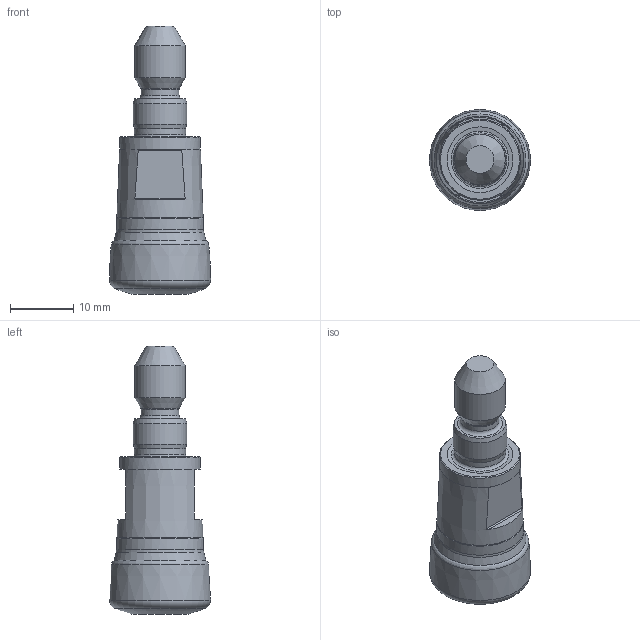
import cadquery as cq
import math

total_height = 42.41
foot_height = 8.5
collar_bottom = 10.0
collar_top = 12.0
rim_bottom = 22.94
rim_top = 24.92
neck_top = 26.14
pilot_top = 30.87
nose_bottom = 34.2
nose_cone_height = 3.1

nose_diameter = 8.0
groove_diameter = 6.0
pilot_diameter = 8.5
neck_diameter = 8.1
recess_diameter = 10.4
rim_diameter = 12.8
body_base_diameter = 13.65
collar_diameter = 13.75

nose_angle = math.radians(30)
lead_angle = math.radians(15)
recess_angle = math.radians(10)
pilot_lead = 0.2
rim_chamfer = 0.15
collar_step_height = 0.12
groove_upper_fillet = 0.5
groove_lower_fillet = 0.6
neck_fillet = 0.42
skirt_fillet = 1.5

across_flats = 10.8
flat_bottom = 14.95
flat_fillet = 0.2

foot_diameter = 16.0
foot_base_radius = 4.5
foot_belly_height = 2.2
foot_side_mid = (7.93, 5.0)
foot_shoulder = (7.72, 7.8)
foot_dome_mid = (5.88, 0.38)
foot_dome_edge = (7.2, 0.93)

nose_radius = nose_diameter / 2
groove_radius = groove_diameter / 2
pilot_radius = pilot_diameter / 2
neck_radius = neck_diameter / 2
recess_radius = recess_diameter / 2
rim_radius = rim_diameter / 2
collar_radius = collar_diameter / 2
tip_radius = nose_radius - nose_cone_height * math.tan(nose_angle)
groove_top = nose_bottom - (nose_radius - groove_radius) / math.tan(nose_angle)
lead_height = pilot_lead / math.tan(lead_angle)
recess_floor = rim_top - (recess_radius - neck_radius) * math.tan(recess_angle)
skirt_radius = collar_radius + (collar_bottom - foot_height) * math.tan(lead_angle)


def fillet_ring(solid, radius, ring_radius, level):
    """Round the circular edge of the given radius and height on the Z axis."""
    tolerance = 1e-4
    rings = solid.edges("%CIRCLE").filter(
        lambda edge: abs(edge.radius() - ring_radius) < tolerance
        and abs(edge.Center().z - level) < tolerance
    )
    return rings.fillet(radius)


def make_turned_stud():
    """Stud turned about Z, from the skirt up to the nose."""
    profile = [
        (0, foot_height),
        (skirt_radius, foot_height),
        (collar_radius, collar_bottom),
        (collar_radius, collar_top - collar_step_height / 2),
        (body_base_diameter / 2, collar_top + collar_step_height / 2),
        (rim_radius, rim_bottom),
        (rim_radius, rim_top - rim_chamfer),
        (rim_radius - rim_chamfer, rim_top),
        (recess_radius, rim_top),
        (neck_radius, recess_floor),
        (neck_radius, neck_top),
        (pilot_radius, neck_top + lead_height),
        (pilot_radius, pilot_top - lead_height),
        (pilot_radius - pilot_lead, pilot_top),
        (groove_radius, pilot_top),
        (groove_radius, groove_top),
        (nose_radius, nose_bottom),
        (nose_radius, total_height - nose_cone_height),
        (tip_radius, total_height),
        (0, total_height),
    ]
    turned = cq.Workplane("XZ").polyline(profile).close().revolve(360, (0, 0), (0, 1))
    turned = fillet_ring(turned, groove_upper_fillet, groove_radius, groove_top)
    turned = fillet_ring(turned, groove_lower_fillet, groove_radius, pilot_top)
    turned = fillet_ring(turned, neck_fillet, neck_radius, recess_floor)
    return fillet_ring(turned, skirt_fillet, collar_radius, collar_bottom)


def make_flat_cutter(side):
    """Block that mills one wrench flat; side is +1 for +Y and -1 for -Y."""
    depth = collar_radius
    flat_height = rim_bottom - flat_bottom
    inner_face = "<Y" if side > 0 else ">Y"
    return (
        cq.Workplane("XY")
        .box(2 * collar_diameter, depth, flat_height)
        .faces(inner_face)
        .edges("|X")
        .fillet(flat_fillet)
        .translate((0, side * (across_flats + depth) / 2, flat_bottom + flat_height / 2))
    )


def make_stud():
    stud = make_turned_stud()
    for side in (-1, 1):
        stud = stud.cut(make_flat_cutter(side))
    return stud.solids()


def make_foot():
    """Bulbous foot turned about Z, with a domed underside."""
    return (
        cq.Workplane("XZ")
        .moveTo(0, 0)
        .lineTo(foot_base_radius, 0)
        .threePointArc(foot_dome_mid, foot_dome_edge)
        .tangentArcPoint((foot_diameter / 2, foot_belly_height), relative=False)
        .threePointArc(foot_side_mid, foot_shoulder)
        .tangentArcPoint((skirt_radius, foot_height), relative=False)
        .lineTo(0, foot_height)
        .close()
        .revolve(360, (0, 0), (0, 1))
    )


stud = make_stud()
foot = make_foot()
result = cq.Compound.makeCompound([stud.val(), foot.val()])